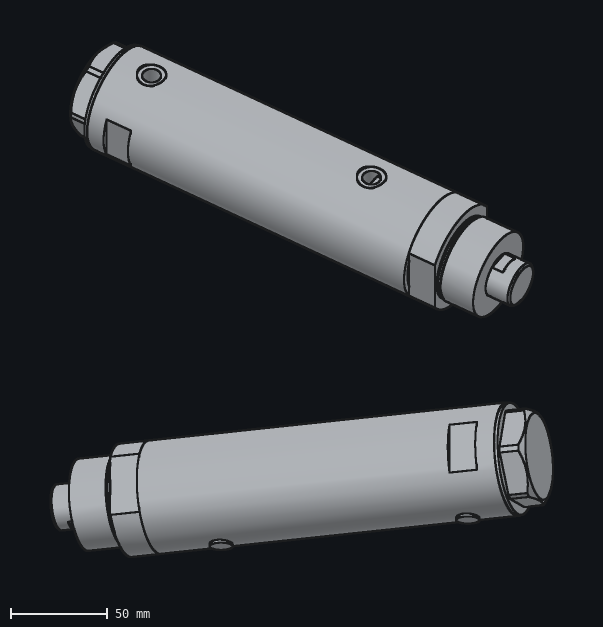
import cadquery as cq
import math


HEAD_END = 12.9
BARREL_START = 14.7
CAP_NOSE_END = 38.3
GLAND_SPIGOT_START = 171.0
BARREL_END = 209.1
GLAND_FLATS_END = 225.2
COLLAR_START = 227.3
COLLAR_END = 248.0
TOTAL_LENGTH = 262.5

BODY_RADIUS = 59.0 / 2
BORE_RADIUS = 15.7
COUNTERBORE_RADIUS = 26.2
BARREL_FLAT_START = 25.0
BARREL_FLAT_END = 40.0
BARREL_FLAT_DISTANCE = 26.5

PORT_X = [35.5, 170.3]
PORT_RADIUS = 9.7 / 2
SPOTFACE_RADIUS = 7.5
SPOTFACE_Z = 28.3
BOSS_X = [38.8, 173.2]
BOSS_RADIUS = 6.0
BOSS_HEIGHT = 1.0

HEX_FLAT_DISTANCE = 23.4
HEX_CORNER_RADIUS = 52.2 / 2
HEX_TILT = 7.0
HEAD_FACE_RADIUS = 22.5
HEAD_CHAMFER_LENGTH = 2.5
FLANGE_RADIUS = 29.0

GLAND_FLAT_DISTANCE = 25.0
NECK_RADIUS = 22.8
NECK_BEVEL = 0.5
COLLAR_RADIUS = 48.0 / 2
COLLAR_CHAMFER = 0.8

ROD_RADIUS = 12.0
ROD_CHAMFER = 1.0
ROD_FLAT_END = 254.5
ROD_FLAT_DISTANCE = 10.5


def cylinder_x(radius, start, end):
    """Cylinder on the X axis between two stations."""
    return cq.Workplane("YZ", origin=(start, 0, 0)).circle(radius).extrude(end - start)


def cylinder_z(radius, x, bottom, top):
    """Vertical cylinder whose axis crosses the X axis at station x."""
    return cq.Workplane("XY", origin=(x, 0, bottom)).circle(radius).extrude(top - bottom)


def revolved(outline):
    """Solid of revolution about X from (station, radius) points."""
    return cq.Workplane("XY").polyline(outline).close().revolve(360, (0, 0, 0), (1, 0, 0))


def flat_cutters(direction, distance, start, end):
    """Two blocks beyond +/- distance along Y or Z that cut a pair of parallel flats."""
    size = 2 * BODY_RADIUS
    middle = (start + end) / 2
    blocks = cq.Workplane("XY")
    for side in (-1, 1):
        offset = side * (distance + size / 2)
        if direction == "Y":
            center = (middle, offset, 0)
        else:
            center = (middle, 0, offset)
        blocks = blocks.add(cq.Workplane("XY").box(end - start, size, size).translate(center))
    return blocks.combine()


def make_barrel():
    barrel = cylinder_x(BODY_RADIUS, BARREL_START, BARREL_END)
    for x in BOSS_X:
        barrel = barrel.union(cylinder_z(BOSS_RADIUS, x, -BODY_RADIUS - BOSS_HEIGHT, 0))
    barrel = barrel.cut(cylinder_x(BORE_RADIUS, BARREL_START, BARREL_END))
    barrel = barrel.cut(cylinder_x(COUNTERBORE_RADIUS, GLAND_SPIGOT_START, BARREL_END))
    barrel = barrel.cut(flat_cutters("Y", BARREL_FLAT_DISTANCE, BARREL_FLAT_START, BARREL_FLAT_END))
    for x in PORT_X:
        barrel = barrel.cut(cylinder_z(PORT_RADIUS, x, 0, BODY_RADIUS))
        barrel = barrel.cut(cylinder_z(SPOTFACE_RADIUS, x, SPOTFACE_Z, BODY_RADIUS))
    return barrel


def make_cap():
    corner_distance = HEX_FLAT_DISTANCE / math.cos(math.pi / 6)
    head = cq.Workplane("YZ").polygon(6, 2 * corner_distance).extrude(HEAD_END)
    head = head.rotate((0, 0, 0), (1, 0, 0), -HEX_TILT)
    turned = revolved(
        [
            (0, 0),
            (0, HEAD_FACE_RADIUS),
            (HEAD_CHAMFER_LENGTH, HEX_CORNER_RADIUS),
            (HEAD_END, HEX_CORNER_RADIUS),
            (HEAD_END, 0),
        ]
    )
    flange = cylinder_x(FLANGE_RADIUS, HEAD_END, BARREL_START)
    nose = cylinder_x(BORE_RADIUS, BARREL_START, CAP_NOSE_END)
    return head.intersect(turned).union(flange).union(nose)


def make_gland():
    gland = revolved(
        [
            (GLAND_SPIGOT_START, ROD_RADIUS),
            (GLAND_SPIGOT_START, COUNTERBORE_RADIUS),
            (BARREL_END, COUNTERBORE_RADIUS),
            (BARREL_END, BODY_RADIUS),
            (GLAND_FLATS_END, BODY_RADIUS),
            (GLAND_FLATS_END, NECK_RADIUS + NECK_BEVEL),
            (GLAND_FLATS_END + NECK_BEVEL, NECK_RADIUS),
            (COLLAR_START, NECK_RADIUS),
            (COLLAR_START, COLLAR_RADIUS - COLLAR_CHAMFER),
            (COLLAR_START + COLLAR_CHAMFER, COLLAR_RADIUS),
            (COLLAR_END, COLLAR_RADIUS),
            (COLLAR_END, ROD_RADIUS),
        ]
    )
    return gland.cut(flat_cutters("Y", GLAND_FLAT_DISTANCE, BARREL_END, GLAND_FLATS_END))


def make_rod():
    rod = cylinder_x(ROD_RADIUS, CAP_NOSE_END, TOTAL_LENGTH)
    rod = rod.faces(">X").chamfer(ROD_CHAMFER)
    return rod.cut(flat_cutters("Z", ROD_FLAT_DISTANCE, COLLAR_END, ROD_FLAT_END))


barrel = make_barrel()
cap = make_cap()
gland = make_gland()
rod = make_rod()

result = cq.Compound.makeCompound([barrel.val(), cap.val(), gland.val(), rod.val()])